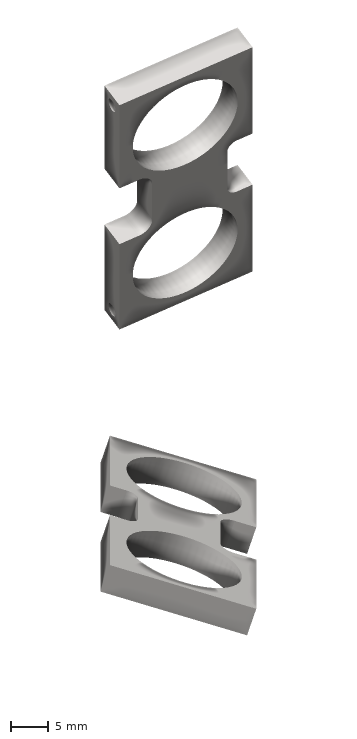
import cadquery as cq

THICKNESS = 4.0
WIDTH = 20.5
HEIGHT = 45.7

BORE_DIAMETER = 16.2
BORE_SPACING = 26.05
BORE_CENTER_Y = -0.15

FRONT_WAIST_Y = -5.2
FRONT_NOTCH_HEIGHT = 11.4
FRONT_NOTCH_CENTER_Z = 0.25
FRONT_NOTCH_RADIUS = 2.0
BACK_WAIST_Y = 6.35
BACK_NOTCH_HEIGHT = 10.4
BACK_NOTCH_CENTER_Z = 0.05
BACK_NOTCH_RADIUS = 1.5

PIN_HOLE_DIAMETER = 1.9
PIN_HOLE_SPACING = 41.7
PIN_HOLE_DEPTH = 4.55


def edge_notch(waist_y, edge_y, height, center_z, radius):
    """Cutter from the plate edge to the waist, with its inner corners rounded."""
    depth = abs(edge_y - waist_y)
    inner_side = "<Y" if edge_y > waist_y else ">Y"
    return (
        cq.Workplane("XY")
        .box(THICKNESS, depth, height)
        .faces(inner_side)
        .edges("|X")
        .fillet(radius)
        .translate((0, (edge_y + waist_y) / 2, center_z))
    )


plate = cq.Workplane("XY").box(THICKNESS, WIDTH, HEIGHT)

bores = (
    cq.Workplane("YZ", origin=(-THICKNESS / 2, BORE_CENTER_Y, 0))
    .pushPoints([(0, -BORE_SPACING / 2), (0, BORE_SPACING / 2)])
    .circle(BORE_DIAMETER / 2)
    .extrude(THICKNESS)
)

front_notch = edge_notch(
    FRONT_WAIST_Y, -WIDTH / 2, FRONT_NOTCH_HEIGHT, FRONT_NOTCH_CENTER_Z, FRONT_NOTCH_RADIUS
)
back_notch = edge_notch(
    BACK_WAIST_Y, WIDTH / 2, BACK_NOTCH_HEIGHT, BACK_NOTCH_CENTER_Z, BACK_NOTCH_RADIUS
)

pin_holes = (
    cq.Workplane("XZ", origin=(0, -WIDTH / 2, 0))
    .pushPoints([(0, -PIN_HOLE_SPACING / 2), (0, PIN_HOLE_SPACING / 2)])
    .circle(PIN_HOLE_DIAMETER / 2)
    .extrude(-PIN_HOLE_DEPTH)
)

result = plate.cut(bores).cut(front_notch).cut(back_notch).cut(pin_holes)